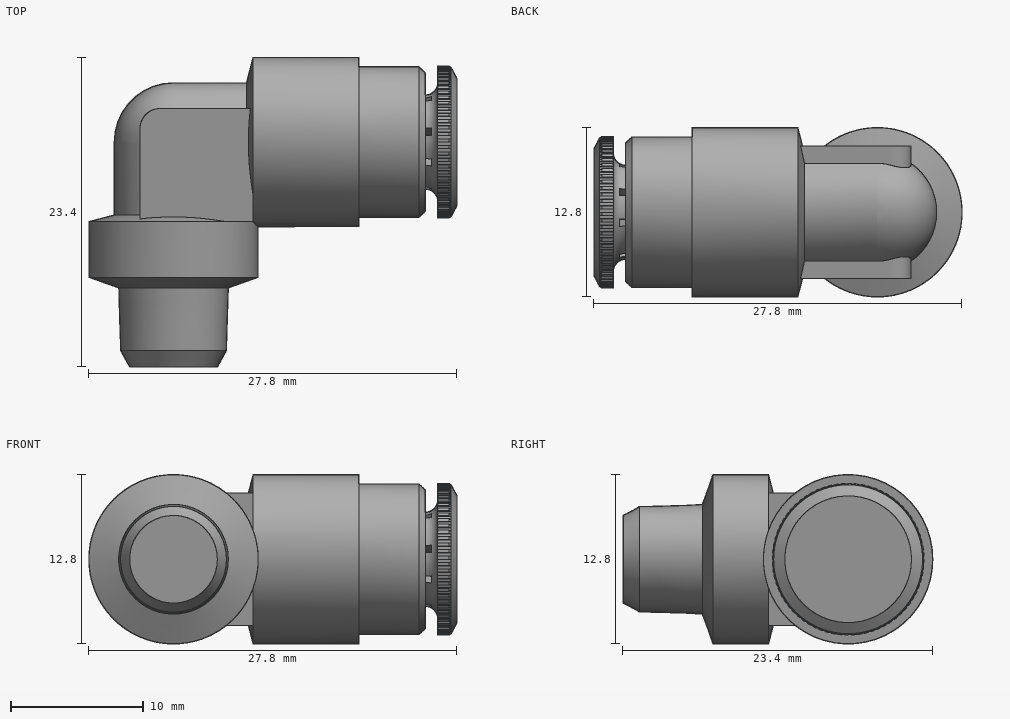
import cadquery as cq
import math


tube_radius = 4.48
web_half_height = 5.0
web_offset = 2.53
web_corner_radius = 1.5

hub_radius = 6.4
hub_start = 6.0
hub_bevel = 0.5

collar_end = 10.2
thread_start = 11.02
thread_tip = 15.75
stem_end = 17.0
thread_start_radius = 4.15
thread_taper = 1 / 32
stem_end_radius = 3.3

barrel_end = 14.0
sleeve_radius = 5.7
sleeve_end = 19.03
sleeve_chamfer_length = 0.5
sleeve_chamfer_height = 0.47

neck_radius = 3.55
flange_start = 19.95
flange_radius = 5.62
flange_bevel_start = 20.98
button_end = 21.42
button_end_radius = 4.79

rib_count = 72
rib_height = 0.1
rib_flat_end = 20.8
rib_root = 0.28

slot_width = 0.55
slot_depth = 2.36
slot_end = 19.47
slot_pair_count = 4
slot_angles = (12.6, -25.0)


def make_elbow():
    """Round tube bend with a spherical corner and a square web through it."""
    stem_tube = cq.Workplane("XZ").circle(tube_radius).extrude(hub_start)
    socket_tube = cq.Workplane("YZ").circle(tube_radius).extrude(hub_start)
    corner = cq.Workplane("XY").sphere(tube_radius)
    web_size = web_offset + hub_start
    web = (
        cq.Workplane("XY")
        .box(web_size, web_size, 2 * web_half_height)
        .translate(((hub_start - web_offset) / 2, (web_offset - hub_start) / 2, 0))
        .edges("|Z and <X and >Y")
        .fillet(web_corner_radius)
    )
    return stem_tube.union(socket_tube).union(corner).union(web)


def make_stem():
    """Collar and tapered thread blank, turned about the Y axis."""
    thread_tip_radius = thread_start_radius - thread_taper * (thread_tip - thread_start)
    bevel_start = hub_start - hub_bevel
    return (
        cq.Workplane("XY")
        .moveTo(0, -bevel_start)
        .lineTo(tube_radius, -bevel_start)
        .lineTo(hub_radius, -hub_start)
        .lineTo(hub_radius, -collar_end)
        .lineTo(thread_start_radius, -thread_start)
        .lineTo(thread_tip_radius, -thread_tip)
        .lineTo(stem_end_radius, -stem_end)
        .lineTo(0, -stem_end)
        .close()
        .revolve(360, (0, 0, 0), (0, 1, 0))
    )


def make_socket():
    """Barrel, sleeve and release button, turned about the X axis."""
    bevel_start = hub_start - hub_bevel
    flare_radius = flange_start - sleeve_end
    flare_shift = flare_radius * math.sqrt(0.5)
    flare_middle = (sleeve_end + flare_shift, neck_radius + flare_radius - flare_shift)
    return (
        cq.Workplane("XY")
        .moveTo(bevel_start, 0)
        .lineTo(bevel_start, tube_radius)
        .lineTo(hub_start, hub_radius)
        .lineTo(barrel_end, hub_radius)
        .lineTo(barrel_end, sleeve_radius)
        .lineTo(sleeve_end - sleeve_chamfer_length, sleeve_radius)
        .lineTo(sleeve_end, sleeve_radius - sleeve_chamfer_height)
        .lineTo(sleeve_end, neck_radius)
        .threePointArc(flare_middle, (flange_start, neck_radius + flare_radius))
        .lineTo(flange_start, flange_radius)
        .lineTo(flange_bevel_start, flange_radius)
        .lineTo(button_end, button_end_radius)
        .lineTo(button_end, 0)
        .close()
        .revolve(360, (0, 0, 0), (1, 0, 0))
    )


def add_ribs(body):
    """Ribs as wide as the gaps between them, running out towards the flange bevel."""
    pitch = 360 / rib_count
    rib = (
        cq.Workplane("XY")
        .moveTo(flange_start, flange_radius - rib_root)
        .lineTo(flange_start, flange_radius + rib_height)
        .lineTo(rib_flat_end, flange_radius + rib_height)
        .lineTo(flange_bevel_start, flange_radius)
        .lineTo(flange_bevel_start, flange_radius - rib_root)
        .close()
        .revolve(pitch / 2, (0, 0, 0), (1, 0, 0))
    )
    ribs = [rib.rotate((0, 0, 0), (1, 0, 0), (i + 0.5) * pitch).val() for i in range(rib_count)]
    return cq.Workplane(body.val().fuse(*ribs))


def cut_slots(body):
    """Radial slots in the neck, between the sleeve face and the flare."""
    slot_length = slot_end - sleeve_end
    slot_floor = neck_radius - slot_depth
    slot_top = neck_radius + (flange_start - sleeve_end)
    slot = (
        cq.Workplane("XY")
        .box(slot_length, slot_top - slot_floor, slot_width)
        .translate((sleeve_end + slot_length / 2, -(slot_top + slot_floor) / 2, 0))
    )
    for pair in range(slot_pair_count):
        for angle in slot_angles:
            turn = pair * 360 / slot_pair_count + angle
            body = body.cut(slot.rotate((0, 0, 0), (1, 0, 0), -turn))
    return body


socket = add_ribs(cut_slots(make_socket()))
result = make_elbow().union(make_stem()).union(socket)